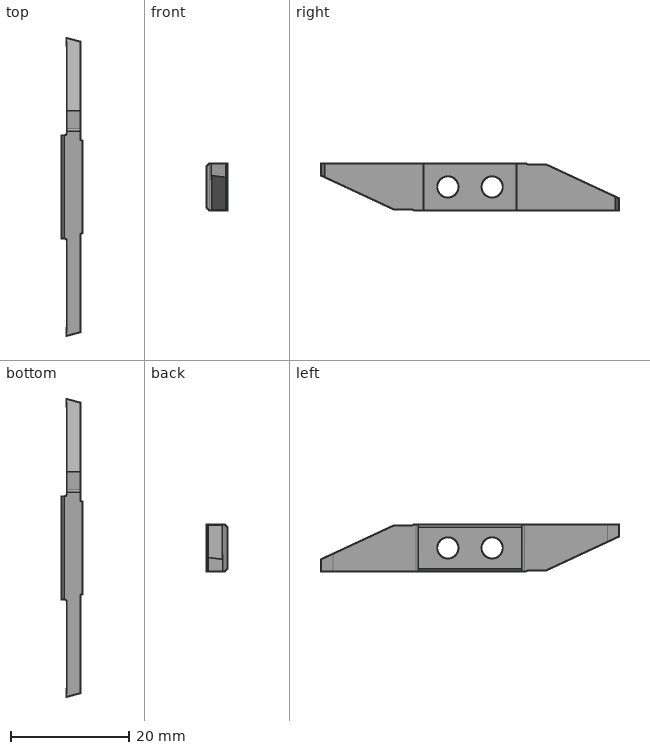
import cadquery as cq
import math

thickness = 3.6
length = 50.5
height = 8.0

front_pad_length = 17.5
front_pad_chamfer = 0.5
root_radius = 0.4
back_pad_length = 15.7
back_pad_draft = 15.0
hole_diameter = 3.55
hole_spacing = 7.5

front_recess = 0.9
back_recess = 0.35

relief_depth = 0.17
relief_radius = 0.8
relief_end = 9.95
slope_start = 12.9
slope_angle = 25.0

flare_length = 2.0
flare_angle = 3.0
end_slant = 15.0
nose_radius = 0.05

half_length = length / 2
half_height = height / 2
front_x = -thickness / 2
back_x = thickness / 2
arm_front_x = front_x + front_recess
arm_back_x = back_x - back_recess
front_pad_y = front_pad_length / 2
back_pad_y = back_pad_length / 2
arm_root_y = front_pad_y + root_radius


def tangent(degrees):
    return math.tan(math.radians(degrees))


def make_block():
    """Central block, with both pads and the concave fillets at the arm roots."""
    fillet_x = arm_front_x - root_radius
    arc_offset = root_radius * (1 - math.sqrt(0.5))
    arc_mid_x = arm_front_x - arc_offset
    arc_mid_y = front_pad_y + arc_offset
    back_foot_y = back_pad_y + back_recess * tangent(back_pad_draft)
    block = (
        cq.Workplane("XY", origin=(0, 0, -half_height))
        .moveTo(front_x, -front_pad_y)
        .lineTo(front_x, front_pad_y)
        .lineTo(fillet_x, front_pad_y)
        .threePointArc((arc_mid_x, arc_mid_y), (arm_front_x, arm_root_y))
        .lineTo(arm_back_x, arm_root_y)
        .lineTo(arm_back_x, back_foot_y)
        .lineTo(back_x, back_pad_y)
        .lineTo(back_x, -back_pad_y)
        .lineTo(arm_back_x, -back_foot_y)
        .lineTo(arm_back_x, -arm_root_y)
        .lineTo(arm_front_x, -arm_root_y)
        .threePointArc((arc_mid_x, -arc_mid_y), (fillet_x, -front_pad_y))
        .close()
        .extrude(height)
    )
    return block.faces("<X").edges("|Y").chamfer(front_pad_chamfer)


def nose_overhang():
    """How far the sharp nose corner would stand out in Y beyond its fillet."""
    half_corner = math.radians(90 - end_slant - flare_angle) / 2
    bisector = math.radians(end_slant) + half_corner
    return nose_radius * (math.sin(bisector) / math.sin(half_corner) - 1)


def make_arm_bar():
    """Full-height +Y arm with a rounded nose."""
    sharp_end_y = half_length + nose_overhang()
    flare_y = half_length - flare_length
    nose_x = arm_front_x - (sharp_end_y - flare_y) * tangent(flare_angle)
    back_end_y = sharp_end_y - (arm_back_x - nose_x) * tangent(end_slant)
    bar = (
        cq.Workplane("XY", origin=(0, 0, -half_height))
        .moveTo(arm_front_x, 0)
        .lineTo(arm_front_x, flare_y)
        .lineTo(nose_x, sharp_end_y)
        .lineTo(arm_back_x, back_end_y)
        .lineTo(arm_back_x, 0)
        .close()
        .extrude(height)
    )
    nose_middle = (nose_x, sharp_end_y, 0)
    return bar.edges(cq.NearestToPointSelector(nose_middle)).fillet(nose_radius)


def make_edge_cut():
    """Material above the +Y arm: a shallow relief with a round run-in, then the long slope."""
    relief_z = half_height - relief_depth
    run_in_angle = math.acos(1 - relief_depth / relief_radius)
    run_in_start = relief_end - relief_radius * math.sin(run_in_angle)
    run_in_middle = (
        relief_end - relief_radius * math.sin(run_in_angle / 2),
        relief_z + relief_radius * (1 - math.cos(run_in_angle / 2)),
    )
    slope_end_z = relief_z - (half_length - slope_start) * tangent(slope_angle)
    return (
        cq.Workplane("YZ", origin=(front_x, 0, 0))
        .moveTo(run_in_start, half_height)
        .threePointArc(run_in_middle, (relief_end, relief_z))
        .lineTo(slope_start, relief_z)
        .lineTo(half_length, slope_end_z)
        .lineTo(half_length, half_height)
        .close()
        .extrude(thickness)
    )


def make_holes():
    """Two mounting holes through the thickness."""
    return (
        cq.Workplane("YZ", origin=(front_x, 0, 0))
        .pushPoints([(-hole_spacing / 2, 0), (hole_spacing / 2, 0)])
        .circle(hole_diameter / 2)
        .extrude(thickness)
    )


arm_bar = make_arm_bar()
edge_cut = make_edge_cut()
body = make_block()
for turn in (0, 180):
    body = body.union(arm_bar.rotate((0, 0, 0), (1, 0, 0), turn))
    body = body.cut(edge_cut.rotate((0, 0, 0), (1, 0, 0), turn))
result = body.cut(make_holes()).clean()